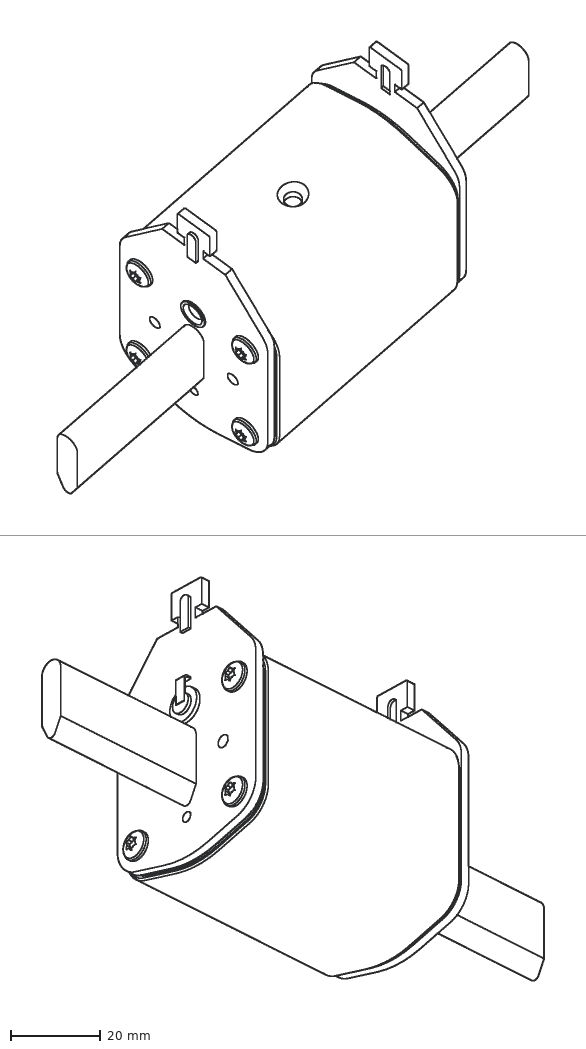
import cadquery as cq
import math


BODY_WIDTH = 46.0
BODY_HEIGHT = 52.1
BODY_LENGTH = 60.1
BODY_END_CHAMFER = 0.5
CORNER_RADIUS = 8.0
ROOF_ANGLE = 15.0
CROWN_HALF_WIDTH = 7.0

GASKET_THICKNESS = 0.8
GASKET_INSET = 0.9

PLATE_THICKNESS = 2.3
PLATE_WIDTH = 45.0
PLATE_BOTTOM = 0.8
PLATE_SHOULDER_HEIGHT = 47.6
PLATE_SHOULDER_RADIUS = 6.8
PLATE_TOP = 62.6
PLATE_TOP_HALF_WIDTH = 9.6
LUG_NECK_HALF_WIDTH = 2.9
LUG_HEAD_BOTTOM = 65.3
LUG_HEAD_HALF_WIDTH = 5.0
LUG_TOP = 72.5
LUG_CORNER_RADIUS = 0.5

RIB_WIDTH = 2.7
RIB_BOTTOM = 60.4
RIB_TOP = 69.5
RIB_HEIGHT = 0.8

BLADE_SPAN = 150.2
BLADE_WIDTH = 6.2
BLADE_TOP = 34.7
BLADE_TAPER_START = 18.6
BLADE_TIP_START = 14.9
BLADE_TIP_HALF_WIDTH = 1.2
BLADE_BOTTOM = 14.3

SCREW_SPACING_X = 32.1
SCREW_HEIGHTS = (10.7, 41.0)
SCREW_RADIUS = 3.6
SCREW_RIM_HEIGHT = 0.68
SCREW_HEIGHT = 2.1
SCREW_DOME_RADIUS = 3.3
SCREW_DOME_START = 1.13
SOCKET_OUTER_RADIUS = 1.8
SOCKET_INNER_RADIUS = 1.28
SOCKET_DEPTH = 1.2
SOCKET_POINTS = 6

SIDE_HOLE_X = 11.9
SIDE_HOLE_Z = 26.0
SIDE_HOLE_DIAMETER = 3.2
LOWER_HOLE_Z = 11.3
LOWER_HOLE_DIAMETER = 2.5

TOP_HOLE_RIM_RADIUS = 3.6
TOP_HOLE_RADIUS = 2.1
TOP_HOLE_CONE_DEPTH = 2.0
TOP_HOLE_DEPTH = 3.8

EYELET_Z = 39.8
EYELET_RADIUS = 3.6
EYELET_HEIGHT = 0.38
EYELET_MOUTH_RADIUS = 2.9
EYELET_BORE_RADIUS = 2.1
EYELET_CONE_DEPTH = 1.0
EYELET_DEPTH = 2.5

BUTTON_Z = 40.5
BUTTON_RADIUS = 4.4
BUTTON_HEIGHT = 1.0
BUTTON_CAP_RADIUS = 2.5
BUTTON_CAP_HEIGHT = 2.0
STRAP_WIDTH = 2.7
STRAP_THICKNESS = 0.5
STRAP_TOP = 47.6
STRAP_REACH = 2.1
STRAP_BEND = 0.6

GASKET_FACE = BODY_LENGTH / 2 + GASKET_THICKNESS
PLATE_FACE = GASKET_FACE + PLATE_THICKNESS


def extrude_y(outline, y_start, y_end):
    """Extrude a closed XZ outline between two Y positions."""
    return outline.extrude(-(y_end - y_start)).translate((0, y_start, 0))


def lower_outline(half_width, bottom):
    """Points of the shallow-V bottom, from its centre out to the vertical side at +X."""
    angle = math.radians(ROOF_ANGLE)
    crown_radius = CROWN_HALF_WIDTH / math.sin(angle)
    crown_mid = (
        crown_radius * math.sin(angle / 2),
        bottom + crown_radius * (1 - math.cos(angle / 2)),
    )
    crown_end = (CROWN_HALF_WIDTH, bottom + crown_radius * (1 - math.cos(angle)))
    centre_x = half_width - CORNER_RADIUS
    corner_start_x = centre_x + CORNER_RADIUS * math.sin(angle)
    corner_start_z = crown_end[1] + (corner_start_x - CROWN_HALF_WIDTH) * math.tan(angle)
    centre_z = corner_start_z + CORNER_RADIUS * math.cos(angle)
    mid_angle = (angle + math.pi / 2) / 2
    corner_mid = (
        centre_x + CORNER_RADIUS * math.sin(mid_angle),
        centre_z - CORNER_RADIUS * math.cos(mid_angle),
    )
    return {
        "centre": (0, bottom),
        "crown_mid": crown_mid,
        "crown_end": crown_end,
        "corner_start": (corner_start_x, corner_start_z),
        "corner_mid": corner_mid,
        "side": (half_width, centre_z),
    }


def barrel(half_width, bottom, y_start, y_end):
    """Body section: rounded sides with the same shallow V at top and bottom."""
    p = lower_outline(half_width, bottom)
    mid_height = BODY_HEIGHT / 2
    quarter = (
        cq.Workplane("XZ")
        .moveTo(*p["centre"])
        .threePointArc(p["crown_mid"], p["crown_end"])
        .lineTo(*p["corner_start"])
        .threePointArc(p["corner_mid"], p["side"])
        .lineTo(half_width, mid_height)
        .lineTo(0, mid_height)
        .close()
    )
    lower = extrude_y(quarter, y_start, y_end)
    lower = lower.union(lower.mirror("YZ"))
    upper = lower.mirror("XY").translate((0, 0, BODY_HEIGHT))
    return lower.union(upper).clean()


def make_body():
    half_length = BODY_LENGTH / 2
    body = barrel(BODY_WIDTH / 2, 0, -half_length, half_length)
    return body.faces("<Y or >Y").chamfer(BODY_END_CHAMFER)


def make_top_hole():
    """Cutter for the countersunk hole: a cone over a short bore."""
    return (
        cq.Workplane("XZ")
        .moveTo(0, BODY_HEIGHT)
        .lineTo(TOP_HOLE_RIM_RADIUS, BODY_HEIGHT)
        .lineTo(TOP_HOLE_RADIUS, BODY_HEIGHT - TOP_HOLE_CONE_DEPTH)
        .lineTo(TOP_HOLE_RADIUS, BODY_HEIGHT - TOP_HOLE_DEPTH)
        .lineTo(0, BODY_HEIGHT - TOP_HOLE_DEPTH)
        .close()
        .revolve(360, (0, 0, 0), (0, 1, 0))
    )


def make_gaskets():
    """One inset core through the body, showing as a thin gasket at each end."""
    return barrel(BODY_WIDTH / 2 - GASKET_INSET, GASKET_INSET, -GASKET_FACE, GASKET_FACE)


def plate_half():
    """The +X half of the -Y end plate, without holes."""
    half_width = PLATE_WIDTH / 2
    p = lower_outline(half_width, PLATE_BOTTOM)
    outline = (
        cq.Workplane("XZ")
        .moveTo(*p["centre"])
        .threePointArc(p["crown_mid"], p["crown_end"])
        .lineTo(*p["corner_start"])
        .threePointArc(p["corner_mid"], p["side"])
        .lineTo(half_width, PLATE_SHOULDER_HEIGHT)
        .lineTo(PLATE_TOP_HALF_WIDTH, PLATE_TOP)
        .lineTo(LUG_NECK_HALF_WIDTH, PLATE_TOP)
        .lineTo(LUG_NECK_HALF_WIDTH, LUG_HEAD_BOTTOM)
        .lineTo(LUG_HEAD_HALF_WIDTH, LUG_HEAD_BOTTOM)
        .lineTo(LUG_HEAD_HALF_WIDTH, LUG_TOP)
        .lineTo(0, LUG_TOP)
        .close()
    )
    plate = extrude_y(outline, -PLATE_FACE, -GASKET_FACE)
    mid_y = -(PLATE_FACE + GASKET_FACE) / 2
    shoulder = cq.selectors.NearestToPointSelector((half_width, mid_y, PLATE_SHOULDER_HEIGHT))
    lug_corner = cq.selectors.NearestToPointSelector((LUG_HEAD_HALF_WIDTH, mid_y, LUG_TOP))
    plate = plate.edges("|Y").edges(shoulder).fillet(PLATE_SHOULDER_RADIUS)
    return plate.edges("|Y").edges(lug_corner).fillet(LUG_CORNER_RADIUS)


def rib(y_start):
    """Round-topped bar of the pressed rib, starting at y_start."""
    radius = RIB_WIDTH / 2
    outline = (
        cq.Workplane("XZ")
        .moveTo(-radius, RIB_BOTTOM)
        .lineTo(radius, RIB_BOTTOM)
        .lineTo(radius, RIB_TOP - radius)
        .threePointArc((0, RIB_TOP), (-radius, RIB_TOP - radius))
        .close()
    )
    return extrude_y(outline, y_start, y_start + RIB_HEIGHT)


def make_plate():
    """The -Y end plate with its rib and small holes."""
    half = plate_half()
    plate = half.union(half.mirror("YZ")).clean()
    plate = plate.union(rib(-PLATE_FACE - RIB_HEIGHT)).cut(rib(-GASKET_FACE - RIB_HEIGHT))
    holes = (
        (-SIDE_HOLE_X, SIDE_HOLE_Z, SIDE_HOLE_DIAMETER),
        (SIDE_HOLE_X, SIDE_HOLE_Z, SIDE_HOLE_DIAMETER),
        (0, LOWER_HOLE_Z, LOWER_HOLE_DIAMETER),
    )
    for x, z, diameter in holes:
        circle = cq.Workplane("XZ").center(x, z).circle(diameter / 2)
        plate = plate.cut(extrude_y(circle, -PLATE_FACE, -GASKET_FACE))
    return plate


def make_screw():
    """Domed screw head standing on Z = 0, with a six-pointed star socket."""
    head = (
        cq.Workplane("XZ")
        .lineTo(SCREW_RADIUS, 0)
        .lineTo(SCREW_RADIUS, SCREW_RIM_HEIGHT)
        .lineTo(SCREW_DOME_RADIUS, SCREW_DOME_START)
        .ellipseArc(SCREW_DOME_RADIUS, SCREW_HEIGHT - SCREW_DOME_START, 0, 90)
        .close()
        .revolve(360, (0, 0, 0), (0, 1, 0))
    )
    star = []
    for i in range(2 * SOCKET_POINTS):
        radius = SOCKET_INNER_RADIUS if i % 2 else SOCKET_OUTER_RADIUS
        angle = math.pi / 2 + i * math.pi / SOCKET_POINTS
        star.append((radius * math.cos(angle), radius * math.sin(angle)))
    socket = cq.Workplane("XY", origin=(0, 0, SCREW_HEIGHT - SOCKET_DEPTH))
    socket = socket.polyline(star).close().extrude(SOCKET_DEPTH)
    return head.cut(socket)


def make_screws():
    """The four screw heads on the -Y plate."""
    head = make_screw().rotate((0, 0, 0), (1, 0, 0), 90)
    screws = cq.Workplane("XY")
    for x in (-SCREW_SPACING_X / 2, SCREW_SPACING_X / 2):
        for z in SCREW_HEIGHTS:
            screws = screws.add(head.translate((x, -PLATE_FACE, z)))
    return screws.combine()


def make_blade():
    """Blade bar through the whole part: round back, tapered lower edge."""
    radius = BLADE_WIDTH / 2
    outline = (
        cq.Workplane("XZ")
        .moveTo(radius, BLADE_TOP - radius)
        .threePointArc((0, BLADE_TOP), (-radius, BLADE_TOP - radius))
        .lineTo(-radius, BLADE_TAPER_START)
        .lineTo(-BLADE_TIP_HALF_WIDTH, BLADE_TIP_START)
        .threePointArc((0, BLADE_BOTTOM), (BLADE_TIP_HALF_WIDTH, BLADE_TIP_START))
        .lineTo(radius, BLADE_TAPER_START)
        .close()
    )
    return extrude_y(outline, -BLADE_SPAN / 2, BLADE_SPAN / 2)


def add_eyelet(part):
    """Raised ring on the -Y plate with a countersunk bore."""
    ring_face = -PLATE_FACE - EYELET_HEIGHT
    ring = cq.Workplane("XZ").center(0, EYELET_Z).circle(EYELET_RADIUS)
    bore = (
        cq.Workplane("XY")
        .moveTo(0, ring_face)
        .lineTo(EYELET_MOUTH_RADIUS, ring_face)
        .lineTo(EYELET_BORE_RADIUS, ring_face + EYELET_CONE_DEPTH)
        .lineTo(EYELET_BORE_RADIUS, ring_face + EYELET_DEPTH)
        .lineTo(0, ring_face + EYELET_DEPTH)
        .close()
        .revolve(360, (0, 0, 0), (0, 1, 0))
        .translate((0, 0, EYELET_Z))
    )
    return part.union(extrude_y(ring, ring_face, -PLATE_FACE)).cut(bore)


def make_indicator():
    """Stepped button on the +Y plate and the strap bent over above it."""
    base = cq.Workplane("XZ").center(0, BUTTON_Z).circle(BUTTON_RADIUS)
    cap = cq.Workplane("XZ").center(0, BUTTON_Z).circle(BUTTON_CAP_RADIUS)
    button = extrude_y(base, PLATE_FACE, PLATE_FACE + BUTTON_HEIGHT)
    button = button.union(extrude_y(cap, PLATE_FACE, PLATE_FACE + BUTTON_CAP_HEIGHT))
    outer_y = PLATE_FACE + STRAP_REACH
    strap = (
        cq.Workplane("YZ", origin=(-STRAP_WIDTH / 2, 0, 0))
        .moveTo(PLATE_FACE, STRAP_TOP)
        .lineTo(outer_y - STRAP_BEND, STRAP_TOP)
        .lineTo(outer_y, STRAP_TOP - STRAP_BEND)
        .lineTo(outer_y, BUTTON_Z)
        .lineTo(outer_y - STRAP_THICKNESS, BUTTON_Z)
        .lineTo(outer_y - STRAP_THICKNESS, STRAP_TOP - STRAP_BEND - STRAP_THICKNESS / 2)
        .lineTo(outer_y - STRAP_BEND - STRAP_THICKNESS / 2, STRAP_TOP - STRAP_THICKNESS)
        .lineTo(PLATE_FACE, STRAP_TOP - STRAP_THICKNESS)
        .close()
        .extrude(STRAP_WIDTH)
    )
    return button.union(strap)


end_assembly = make_plate().union(make_screws())
result = make_body().union(make_gaskets()).cut(make_top_hole())
result = result.union(end_assembly).union(end_assembly.mirror("XZ"))
result = result.union(make_blade())
result = add_eyelet(result)
result = result.union(make_indicator())